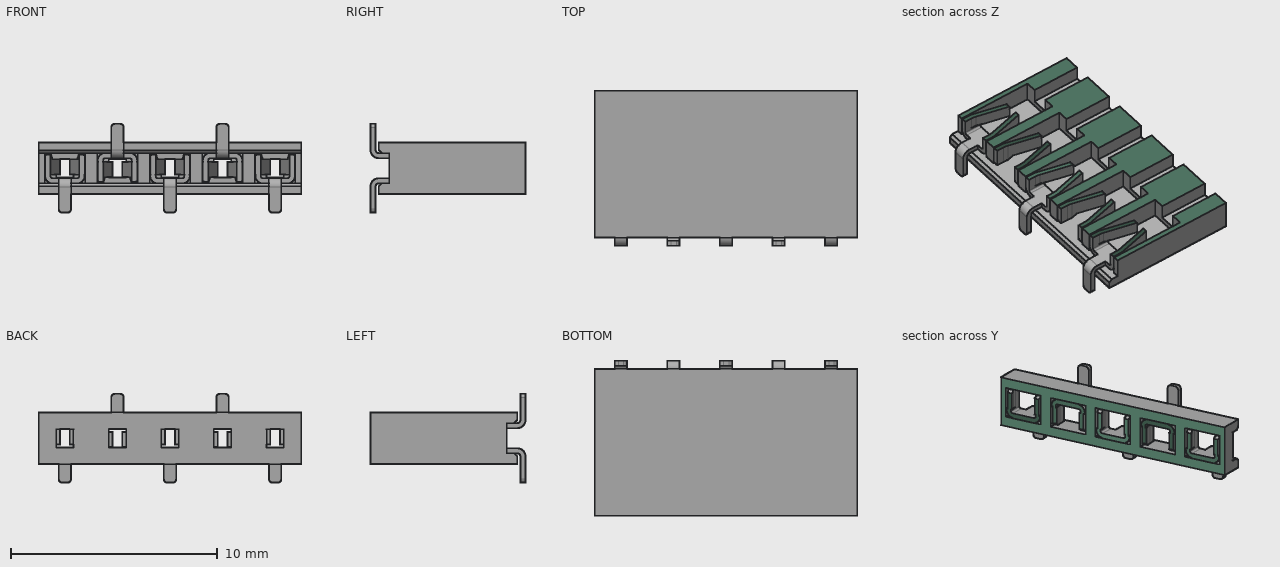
import cadquery as cq

POSITIONS = 5
PITCH = 2.54
HOUSING_LENGTH = POSITIONS * PITCH
HOUSING_DEPTH = 7.1
HOUSING_HEIGHT = 2.5
OVERALL_HEIGHT = 4.3

RECESS_DEPTH = 0.5
RECESS_HEIGHT = 1.47
BEVEL_DEPTH = 0.14
BEVEL_HEIGHT = 0.14

CAVITY_WIDTH = 1.96
CAVITY_HEIGHT = RECESS_HEIGHT
CAVITY_END_Y = 4.5
ENTRY_WIDTH = 0.83
ENTRY_HEIGHT = 0.88

SHEET = 0.255
BASE_WIDTH = 1.9
BASE_BOTTOM = -CAVITY_HEIGHT / 2
BASE_TOP = 0.65
BASE_INNER_RADIUS = 0.1
BASE_OUTER_RADIUS = BASE_INNER_RADIUS + SHEET
BASE_START_Y = RECESS_DEPTH
WALL_END_Y = 0.7
BASE_END_Y = 1.4
ARM_BEND_Y = 1.0
ARM_BEND_RADIUS = 1.0
ARM_END_Y = 2.85
ARM_BOTTOM = -0.31
ARM_TOP = 0.435
ARM_GAP = 0.465
RAMP_START_Y = 1.1
RAMP_END_Y = 1.4
TAIL_WIDTH = 0.61
TAIL_FRONT_Y = -0.4
TAIL_INNER_RADIUS = 0.15
TAIL_OUTER_RADIUS = TAIL_INNER_RADIUS + SHEET
TAIL_TIP_RADIUS = 0.18


def box(x_range, y_range, z_range):
    """Axis-aligned box between the given limits."""
    size = [high - low for low, high in (x_range, y_range, z_range)]
    corner = (x_range[0], y_range[0], z_range[0])
    return cq.Workplane("XY").box(*size, centered=False).translate(corner)


def centered_bar(width, height, start_y, end_y):
    """Rectangular bar along Y, centred on the Y axis."""
    return box((-width / 2, width / 2), (start_y, end_y), (-height / 2, height / 2))


def make_housing(contact_places):
    half_length = HOUSING_LENGTH / 2
    body = centered_bar(HOUSING_LENGTH, HOUSING_HEIGHT, 0, HOUSING_DEPTH)

    half_recess = RECESS_HEIGHT / 2
    half_mouth = half_recess + BEVEL_HEIGHT
    recess = (
        cq.Workplane("YZ", origin=(-half_length, 0, 0))
        .polyline([
            (0, -half_mouth),
            (BEVEL_DEPTH, -half_recess),
            (RECESS_DEPTH, -half_recess),
            (RECESS_DEPTH, half_recess),
            (BEVEL_DEPTH, half_recess),
            (0, half_mouth),
        ])
        .close()
        .extrude(HOUSING_LENGTH)
    )
    body = body.cut(recess)

    cavity = centered_bar(CAVITY_WIDTH, CAVITY_HEIGHT, RECESS_DEPTH, CAVITY_END_Y)
    entry = centered_bar(ENTRY_WIDTH, ENTRY_HEIGHT, CAVITY_END_Y, HOUSING_DEPTH)
    opening = cavity.union(entry)
    for x in contact_places:
        body = body.cut(opening.translate((x, 0, 0)))
    return body


def make_channel(end_y, top):
    """U-shaped channel along Y, open at the top."""
    inner_width = BASE_WIDTH - 2 * SHEET
    y_range = (BASE_START_Y, end_y)
    outer = box((-BASE_WIDTH / 2, BASE_WIDTH / 2), y_range, (BASE_BOTTOM, top))
    outer = outer.edges("|Y and <Z").fillet(BASE_OUTER_RADIUS)
    inner = box((-inner_width / 2, inner_width / 2), y_range, (BASE_BOTTOM + SHEET, top))
    inner = inner.edges("|Y and <Z").fillet(BASE_INNER_RADIUS)
    return outer.cut(inner)


def make_arm():
    """Spring arm on the +X side: straight along the wall, then leaning inwards to its tip."""
    root_x = BASE_WIDTH / 2
    tip_x = ARM_GAP / 2 + SHEET
    outer_bend = (root_x, ARM_BEND_Y)
    inner_bend = (root_x - SHEET, ARM_BEND_Y)
    arm = (
        cq.Workplane("XY", origin=(0, 0, ARM_BOTTOM))
        .polyline([
            (root_x, BASE_START_Y),
            outer_bend,
            (tip_x, ARM_END_Y),
            (tip_x - SHEET, ARM_END_Y),
            inner_bend,
            (root_x - SHEET, BASE_START_Y),
        ])
        .close()
        .extrude(BASE_TOP - ARM_BOTTOM)
    )
    middle_z = (ARM_BOTTOM + BASE_TOP) / 2
    for bend in (outer_bend, inner_bend):
        bend_edge = cq.NearestToPointSelector((*bend, middle_z))
        arm = arm.edges("|Z").edges(bend_edge).fillet(ARM_BEND_RADIUS)
    return arm


def make_top_relief():
    """Space above the arms, with the ramp from the base walls down to the arms."""
    return (
        cq.Workplane("YZ", origin=(-BASE_WIDTH / 2, 0, 0))
        .polyline([
            (RAMP_START_Y, BASE_TOP),
            (RAMP_END_Y, ARM_TOP),
            (ARM_END_Y, ARM_TOP),
            (ARM_END_Y, BASE_TOP),
        ])
        .close()
        .extrude(BASE_WIDTH)
    )


def make_tail():
    """Solder tail that runs out of the base floor and bends down."""
    tip_z = -OVERALL_HEIGHT / 2
    floor_top = BASE_BOTTOM + SHEET
    back_y = TAIL_FRONT_Y + SHEET
    tail = (
        cq.Workplane("YZ", origin=(-TAIL_WIDTH / 2, 0, 0))
        .moveTo(BASE_START_Y, floor_top)
        .lineTo(TAIL_FRONT_Y + TAIL_OUTER_RADIUS, floor_top)
        .radiusArc((TAIL_FRONT_Y, floor_top - TAIL_OUTER_RADIUS), -TAIL_OUTER_RADIUS)
        .lineTo(TAIL_FRONT_Y, tip_z)
        .lineTo(back_y, tip_z)
        .lineTo(back_y, BASE_BOTTOM - TAIL_INNER_RADIUS)
        .radiusArc((back_y + TAIL_INNER_RADIUS, BASE_BOTTOM), TAIL_INNER_RADIUS)
        .lineTo(BASE_START_Y, BASE_BOTTOM)
        .close()
        .extrude(TAIL_WIDTH)
    )
    return tail.edges("|Y and <Z").fillet(TAIL_TIP_RADIUS)


def make_contact():
    arm = make_arm()
    base = make_channel(WALL_END_Y, BASE_TOP).union(make_channel(BASE_END_Y, ARM_BOTTOM))
    spring = base.union(arm).union(arm.mirror("YZ")).cut(make_top_relief())
    return spring.union(make_tail())


contact_places = [(index - (POSITIONS - 1) / 2) * PITCH for index in range(POSITIONS)]
housing = make_housing(contact_places)

contact = make_contact()
contacts = []
for index, x in enumerate(contact_places):
    turn = 180 * (index % 2)
    contacts.append(contact.rotate((0, 0, 0), (0, 1, 0), turn).translate((x, 0, 0)))

result = cq.Compound.makeCompound([housing.val(), *[item.val() for item in contacts]])